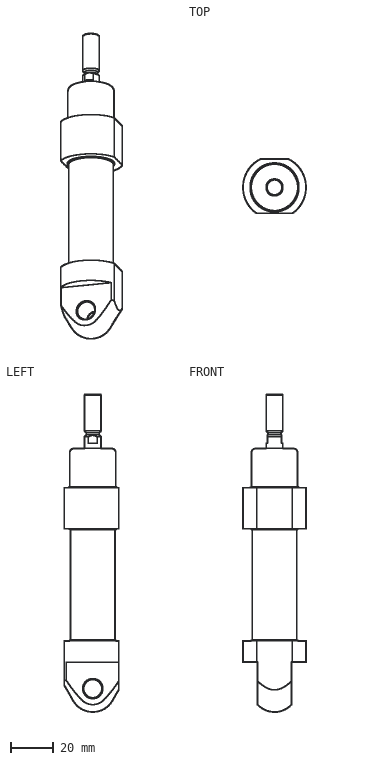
import cadquery as cq
import math

total_height = 150.8

clevis_shoulder_z = 23.7
lower_block_top_z = 33.8
upper_block_bottom_z = 86.9
upper_block_top_z = 106.5
cap_top_z = 125.0

block_diameter = 30.0
front_flat_y = -12.4
back_flat_y = 13.5
tube_diameter = 21.3
cap_diameter = 22.0
cap_fillet = 2.1
collar_height = 0.5
collar_width = 0.6
tongue_width = 16.1
nose_radius = 10.9
nose_cone_angle = 60.0
pin_hole_diameter = 8.6
pin_hole_z = 11.2
pin_hole_chamfer = 0.5

rod_diameter = 8.0
tip_chamfer = 0.5
groove_diameter = 6.3
groove_bottom_z = 130.6
groove_top_z = 133.3
wrench_width = 6.8
wrench_height = 3.0

block_radius = block_diameter / 2
tube_radius = tube_diameter / 2
cap_radius = cap_diameter / 2
block_depth = back_flat_y - front_flat_y
block_center_y = (back_flat_y + front_flat_y) / 2


def cylinder(diameter, bottom_z, top_z):
    """Cylinder on the Z axis between two heights."""
    return cq.Workplane("XY").workplane(offset=bottom_z).circle(diameter / 2).extrude(top_z - bottom_z)


def flat_sided_block(bottom_z, top_z):
    """Round block with one flat on the front and one on the back."""
    block_height = top_z - bottom_z
    slab = (
        cq.Workplane("XY", origin=(0, block_center_y, bottom_z))
        .rect(block_diameter, block_depth)
        .extrude(block_height)
    )
    return cylinder(block_diameter, bottom_z, top_z).intersect(slab)


def collar(neck_radius, base_z, direction):
    """Sloping ring where a neck leaves a block; direction is +1 upward or -1 downward."""
    return (
        cq.Workplane("XZ")
        .moveTo(0, base_z)
        .lineTo(neck_radius + collar_width, base_z)
        .lineTo(neck_radius, base_z + direction * collar_height)
        .lineTo(0, base_z + direction * collar_height)
        .close()
        .revolve(360, (0, 0, 0), (0, 1, 0))
    )


def nose_envelope():
    """Revolved clevis nose: spherical end, tangent cone, then the block diameter."""
    cone_angle = math.radians(nose_cone_angle)
    seam_radius = nose_radius * math.sin(cone_angle)
    seam_z = nose_radius * (1 - math.cos(cone_angle))
    middle_radius = nose_radius * math.sin(cone_angle / 2)
    middle_z = nose_radius * (1 - math.cos(cone_angle / 2))
    cone_top_z = seam_z + (block_radius - seam_radius) * math.tan(cone_angle)
    return (
        cq.Workplane("XZ")
        .moveTo(0, 0)
        .threePointArc((middle_radius, middle_z), (seam_radius, seam_z))
        .lineTo(block_radius, cone_top_z)
        .lineTo(block_radius, clevis_shoulder_z)
        .lineTo(0, clevis_shoulder_z)
        .close()
        .revolve(360, (0, 0, 0), (0, 1, 0))
    )


def pin_hole_cutter():
    """Pin hole along X, widening to a chamfer at both tongue faces."""
    half_width = tongue_width / 2
    hole_radius = pin_hole_diameter / 2
    mouth_radius = hole_radius + pin_hole_chamfer
    return (
        cq.Workplane("XZ", origin=(0, 0, pin_hole_z))
        .moveTo(-half_width, 0)
        .lineTo(-half_width, mouth_radius)
        .lineTo(-half_width + pin_hole_chamfer, hole_radius)
        .lineTo(half_width - pin_hole_chamfer, hole_radius)
        .lineTo(half_width, mouth_radius)
        .lineTo(half_width, 0)
        .close()
        .revolve(360, (0, 0, 0), (1, 0, 0))
    )


def make_clevis():
    """Flat tongue with a rounded nose and a chamfered pin hole along X."""
    tongue = (
        cq.Workplane("XY", origin=(0, block_center_y, 0))
        .rect(tongue_width, block_depth)
        .extrude(clevis_shoulder_z)
        .intersect(nose_envelope())
    )
    return tongue.cut(pin_hole_cutter())


def make_housing():
    """Clevis, lower block, tube, upper block and cap as one solid."""
    cap = cylinder(cap_diameter, upper_block_top_z, cap_top_z).faces(">Z").edges().fillet(cap_fillet)
    return (
        flat_sided_block(clevis_shoulder_z, lower_block_top_z)
        .union(make_clevis())
        .union(cylinder(tube_diameter, lower_block_top_z, upper_block_bottom_z))
        .union(flat_sided_block(upper_block_bottom_z, upper_block_top_z))
        .union(cap)
        .union(collar(tube_radius, lower_block_top_z, 1))
        .union(collar(tube_radius, upper_block_bottom_z, -1))
        .union(collar(cap_radius, upper_block_top_z, 1))
    )


def make_rod():
    """Piston rod standing on the cap, with a bevelled groove and two wrench flats."""
    rod_radius = rod_diameter / 2
    groove_radius = groove_diameter / 2
    groove_bevel = rod_radius - groove_radius
    rod = (
        cq.Workplane("XZ")
        .moveTo(0, cap_top_z)
        .lineTo(rod_radius, cap_top_z)
        .lineTo(rod_radius, groove_bottom_z)
        .lineTo(groove_radius, groove_bottom_z + groove_bevel)
        .lineTo(groove_radius, groove_top_z - groove_bevel)
        .lineTo(rod_radius, groove_top_z)
        .lineTo(rod_radius, total_height - tip_chamfer)
        .lineTo(rod_radius - tip_chamfer, total_height)
        .lineTo(0, total_height)
        .close()
        .revolve(360, (0, 0, 0), (0, 1, 0))
    )
    flat_bottom_z = groove_bottom_z - wrench_height
    flat_top_z = groove_bottom_z + groove_bevel
    for side in (-1, 1):
        flat_cutter = (
            cq.Workplane("XY", origin=(side * (wrench_width + rod_diameter) / 2, 0, flat_bottom_z))
            .rect(rod_diameter, rod_diameter)
            .extrude(flat_top_z - flat_bottom_z)
        )
        rod = rod.cut(flat_cutter)
    return rod


housing = make_housing()
rod = make_rod()
result = cq.Compound.makeCompound([housing.val(), rod.val()])